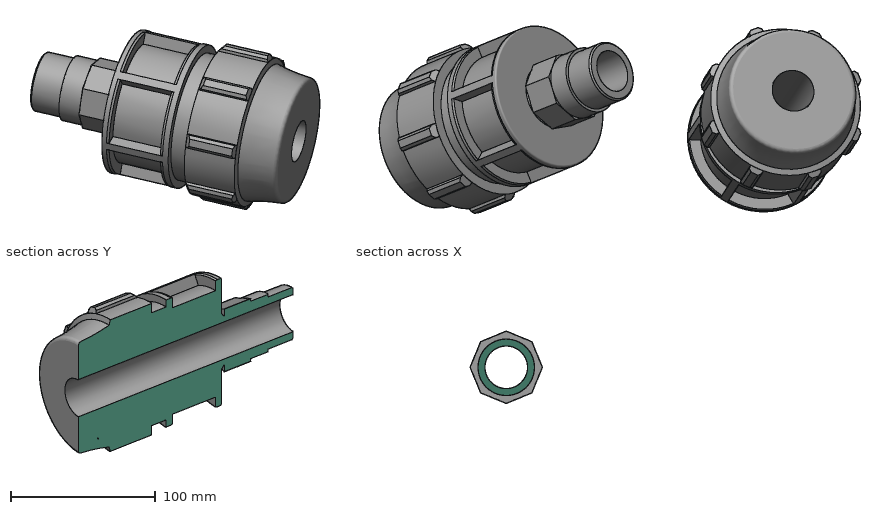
import cadquery as cq
import math

bore_diameter = 29.3

spigot_diameter = 42.0
spigot_end_x = 22.0
spigot_chamfer = 1.1
step_diameter = 46.2
step_end_x = 37.5
octagon_corner_diameter = 50.2
octagon_end_x = 61.0
collar_small_radius = 19.5
collar_large_radius = 22.6

body_start_x = 63.3
body_end_x = 112.5
body_diameter = 101.6
body_fillet = 1.1
pocket_start_x = 68.8
pocket_end_x = 106.5
pocket_floor_radius = 42.5
pocket_lip_length = 1.7
pocket_lip_drop = 0.5
pocket_cut_margin = 1.9
body_rib_count = 6
body_rib_width = 5.7
neck_diameter = 90.5

nut_start_x = 125.0
nut_end_x = 161.7
nut_radius = 52.6
nose_start_x = 162.8
nose_start_radius = 48.6
nose_waist_x = 175.2
nose_waist_radius = 46.0
nose_end_x = 190.0
nose_end_radius = 44.5
nose_fillet = 2.7

grip_count = 8
grip_radius = 56.5
grip_base_width = 9.5
grip_edge_width = 2.0
grip_edge_height = 1.9
grip_front_slope = 3.5
grip_back_slope = 1.7
grip_embed = 1.9


def cylinder_x(start_x, end_x, diameter):
    """Cylinder on the X axis."""
    return cq.Workplane("YZ", origin=(start_x, 0, 0)).circle(diameter / 2).extrude(end_x - start_x)


def revolve_x(profile):
    """Turn a closed (x, radius) profile around the X axis."""
    return profile.revolve(360, (0, 0, 0), (1, 0, 0))


def make_spigot():
    tip = cylinder_x(0, spigot_end_x, spigot_diameter).faces("<X").chamfer(spigot_chamfer)
    step = cylinder_x(spigot_end_x, step_end_x, step_diameter)
    octagon = (
        cq.Workplane("YZ", origin=(step_end_x, 0, 0))
        .polygon(8, octagon_corner_diameter)
        .extrude(octagon_end_x - step_end_x)
    )
    collar = revolve_x(
        cq.Workplane("XY")
        .moveTo(octagon_end_x, 0)
        .lineTo(octagon_end_x, collar_small_radius)
        .lineTo(body_start_x, collar_large_radius)
        .lineTo(body_start_x, 0)
        .close()
    )
    return tip.union(step).union(octagon).union(collar)


def make_pockets():
    """Ring-shaped cut with sloped lips, interrupted by the lengthwise ribs."""
    body_radius = body_diameter / 2
    lip_radius = body_radius - pocket_lip_drop
    clear_radius = body_radius + pocket_cut_margin
    ring = revolve_x(
        cq.Workplane("XY")
        .moveTo(pocket_start_x, pocket_floor_radius)
        .lineTo(pocket_start_x, lip_radius)
        .lineTo(pocket_start_x - pocket_lip_length, body_radius)
        .lineTo(pocket_start_x - pocket_lip_length, clear_radius)
        .lineTo(pocket_end_x + pocket_lip_length, clear_radius)
        .lineTo(pocket_end_x + pocket_lip_length, body_radius)
        .lineTo(pocket_end_x, lip_radius)
        .lineTo(pocket_end_x, pocket_floor_radius)
        .close()
    )
    bar = cq.Workplane("XY", origin=((body_start_x + body_end_x) / 2, 0, 0)).box(
        body_end_x - body_start_x, 2 * clear_radius, body_rib_width
    )
    for index in range(body_rib_count // 2):
        ring = ring.cut(bar.rotate((0, 0, 0), (1, 0, 0), index * 360 / body_rib_count))
    return ring


def make_body():
    drum = cylinder_x(body_start_x, body_end_x, body_diameter).faces("<X").edges().fillet(body_fillet)
    neck = cylinder_x(body_end_x, nut_start_x, neck_diameter)
    return drum.cut(make_pockets()).union(neck)


def make_grip():
    """Grip rib on the +Z side: bevelled rectangular section with sloped ends."""
    base_radius = math.sqrt(nut_radius**2 - (grip_base_width / 2) ** 2)
    root_radius = base_radius - grip_embed
    shoulder_radius = grip_radius - grip_edge_height
    top_half_width = grip_base_width / 2 - grip_edge_width
    section = (
        cq.Workplane("YZ", origin=(nut_start_x, 0, 0))
        .moveTo(-grip_base_width / 2, root_radius)
        .lineTo(-grip_base_width / 2, shoulder_radius)
        .lineTo(-top_half_width, grip_radius)
        .lineTo(top_half_width, grip_radius)
        .lineTo(grip_base_width / 2, shoulder_radius)
        .lineTo(grip_base_width / 2, root_radius)
        .close()
        .extrude(nut_end_x - nut_start_x)
    )
    side = (
        cq.Workplane("XZ")
        .moveTo(nut_start_x, root_radius)
        .lineTo(nut_start_x, base_radius)
        .lineTo(nut_start_x + grip_front_slope, grip_radius)
        .lineTo(nut_end_x - grip_back_slope, grip_radius)
        .lineTo(nut_end_x, base_radius)
        .lineTo(nut_end_x, root_radius)
        .close()
        .extrude(grip_base_width, both=True)
    )
    return section.intersect(side)


def make_nut():
    nut = revolve_x(
        cq.Workplane("XY")
        .moveTo(nut_start_x, 0)
        .lineTo(nut_start_x, nut_radius)
        .lineTo(nut_end_x, nut_radius)
        .lineTo(nose_start_x, nose_start_radius)
        .threePointArc((nose_waist_x, nose_waist_radius), (nose_end_x, nose_end_radius))
        .lineTo(nose_end_x, 0)
        .close()
    ).faces(">X").edges().fillet(nose_fillet)
    grip = make_grip()
    pitch = 360 / grip_count
    for index in range(grip_count):
        nut = nut.union(grip.rotate((0, 0, 0), (1, 0, 0), (index + 0.5) * pitch))
    return nut


bore = cylinder_x(0, nose_end_x, bore_diameter)
result = make_spigot().union(make_body()).union(make_nut()).cut(bore)